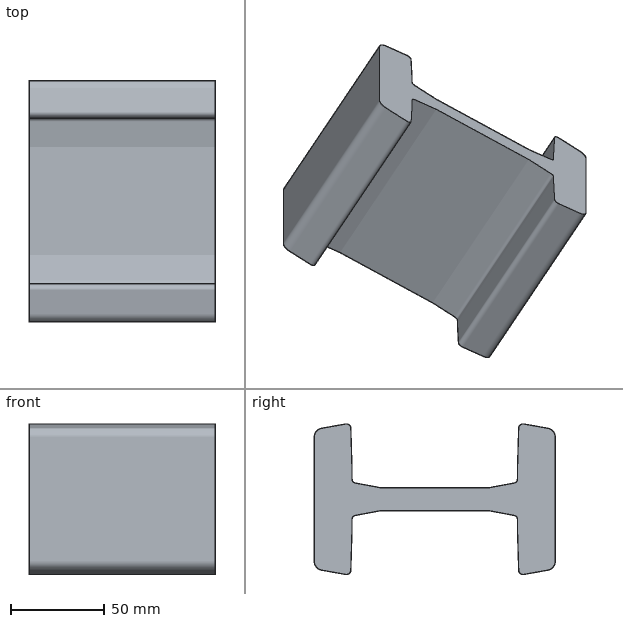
import cadquery as cq
import math

length = 100.0
width = 129.6

web_thickness = 12.5
web_flat_width = 58.0
root_z = 9.1

flange_root_y = 44.3
draft_start_z = 14.9
flange_tip_y = 45.1
outer_corner_z = 37.5
end_slope = 10.1

outer_radius = 5.0
tip_radius = 2.5
root_radius = 2.0

half_width = width / 2
half_web = web_thickness / 2
half_flat = web_flat_width / 2
tip_z = outer_corner_z + (half_width - flange_tip_y) * math.tan(math.radians(end_slope))

web_end = (half_flat, half_web)
root = (flange_root_y, root_z)
draft_start = (flange_root_y, draft_start_z)
tip = (flange_tip_y, tip_z)
outer_corner = (half_width, outer_corner_z)
quarter = [web_end, root, draft_start, tip, outer_corner]


def mirrored_outline(points):
    """Mirror a quarter outline about both axes into one closed loop."""
    right_half = points + [(y, -z) for y, z in reversed(points)]
    left_half = [(-y, z) for y, z in reversed(right_half)]
    return right_half + left_half


def round_edges(body, corner, radius):
    """Round the four mirrored lengthwise edges that pass through a section corner."""
    y, z = corner
    edges = cq.Workplane("YZ").newObject([])
    for y_side in (-1, 1):
        for z_side in (-1, 1):
            middle = (0, y_side * y, z_side * z)
            edges = edges.add(body.edges("|X").edges(cq.NearestToPointSelector(middle)))
    return body.newObject(edges.vals()).fillet(radius)


result = cq.Workplane("YZ").polyline(mirrored_outline(quarter)).close().extrude(length / 2, both=True)
for corner, radius in ((outer_corner, outer_radius), (tip, tip_radius), (root, root_radius)):
    result = round_edges(result, corner, radius)